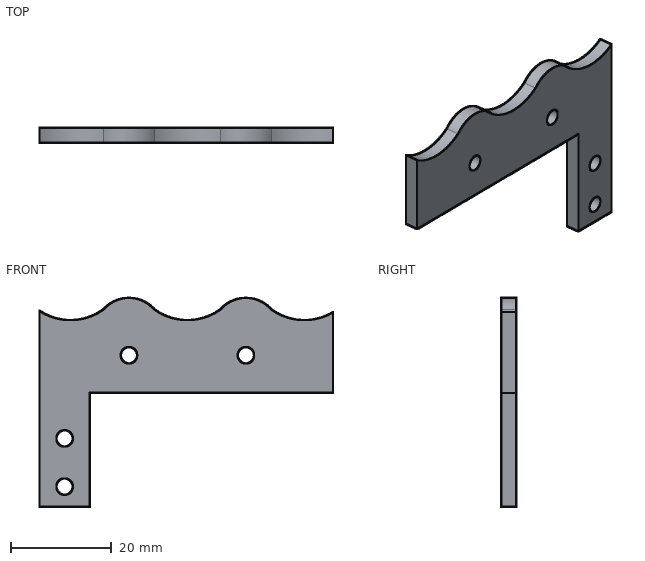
import cadquery as cq
import math

length = 58.2
thickness = 3.0
height = 41.45
leg_width = 10.0
arm_bottom = 22.6

pitch = 23.2
first_valley = 6.2
valley_height = 37.0
valley_radius = 11.1
crest_half_width = 5.05

hole_diameter = 3.2
arm_hole_height = 30.05
leg_hole_heights = (4.0, 13.55)

crest_centers = [first_valley + (i + 0.5) * pitch for i in range(2)]
last_valley = first_valley + 2 * pitch


def valley_edge_height(offset):
    """Height of a valley arc at a horizontal offset from its lowest point."""
    return valley_height + valley_radius - math.sqrt(valley_radius**2 - offset**2)


left_height = valley_edge_height(first_valley)
right_height = valley_edge_height(length - last_valley)
shoulder_height = valley_edge_height(pitch / 2 - crest_half_width)


def plate():
    """L-shaped plate outline with the wavy top, extruded along +Y."""
    outline = (
        cq.Workplane("XZ")
        .moveTo(length, right_height)
        .lineTo(length, arm_bottom)
        .lineTo(leg_width, arm_bottom)
        .lineTo(leg_width, 0)
        .lineTo(0, 0)
        .lineTo(0, left_height)
    )
    for crest in crest_centers:
        valley = crest - pitch / 2
        outline = outline.threePointArc(
            (valley, valley_height), (crest - crest_half_width, shoulder_height)
        )
        outline = outline.threePointArc(
            (crest, height), (crest + crest_half_width, shoulder_height)
        )
    outline = outline.threePointArc((last_valley, valley_height), (length, right_height))
    return outline.close().extrude(-thickness)


def hole_cutters():
    """Cylinders for the holes below the crests and down the middle of the leg."""
    centers = [(crest, arm_hole_height) for crest in crest_centers]
    centers += [(leg_width / 2, z) for z in leg_hole_heights]
    return cq.Workplane("XZ").pushPoints(centers).circle(hole_diameter / 2).extrude(-thickness)


result = plate().cut(hole_cutters())